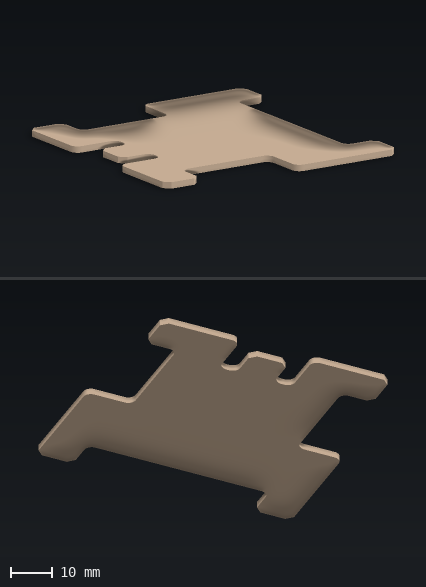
import cadquery as cq

width = 67.6
length = 64.0
thickness = 1.6

corner_chamfer = 1.6
corner_radius = 2.0

ear_inner_x = 24.0
recess_depth = 8.4

shoulder_length = 28.9
waist_half_width = 21.78
foot_half_width = 30.1
foot_length = 9.8

tongue_half_width = 4.9
tongue_setback = 3.8
slot_width = 4.75
slot_depth = 12.0

half_width = width / 2
back_y = length / 2
front_y = -back_y
recess_y = back_y - recess_depth
shoulder_y = back_y - shoulder_length
foot_y = front_y + foot_length
slot_end_y = front_y + slot_depth
tongue_y = front_y + tongue_setback
slot_outer_x = tongue_half_width + slot_width


def half_outline(side):
    """Corners of one half, from the recess round to the tongue tip.

    side is +1 for the right half and -1 for the left half.
    Each returned corner is (point, treatment).
    """
    corners = [
        (ear_inner_x, recess_y, "round"),
        (ear_inner_x, back_y, "chamfer"),
        (half_width, back_y, "chamfer"),
        (half_width, shoulder_y, "round"),
        (waist_half_width, shoulder_y, "round"),
        (waist_half_width, foot_y, "round"),
        (foot_half_width, foot_y, "chamfer"),
        (foot_half_width, front_y, "chamfer"),
        (slot_outer_x, front_y, "round"),
        (slot_outer_x, slot_end_y, "round"),
        (tongue_half_width, slot_end_y, "round"),
        (tongue_half_width, tongue_y, "chamfer"),
    ]
    return [((side * x, y), treatment) for x, y, treatment in corners]


def edges_at(plate, corners, treatment):
    """Select the upright edges standing on the corners with the given treatment."""
    selected = plate.newObject([])
    for point, corner_treatment in corners:
        if corner_treatment == treatment:
            nearest = cq.selectors.NearestToPointSelector((*point, thickness / 2))
            selected = selected.add(plate.edges("|Z").edges(nearest))
    return selected


def make_plate():
    right = half_outline(1)
    left = half_outline(-1)
    corners = right + left[::-1]
    outline = [point for point, _ in corners]
    plate = cq.Workplane("XY").polyline(outline).close().extrude(thickness)
    plate = edges_at(plate, corners, "round").fillet(corner_radius)
    return edges_at(plate, corners, "chamfer").chamfer(corner_chamfer)


result = make_plate()